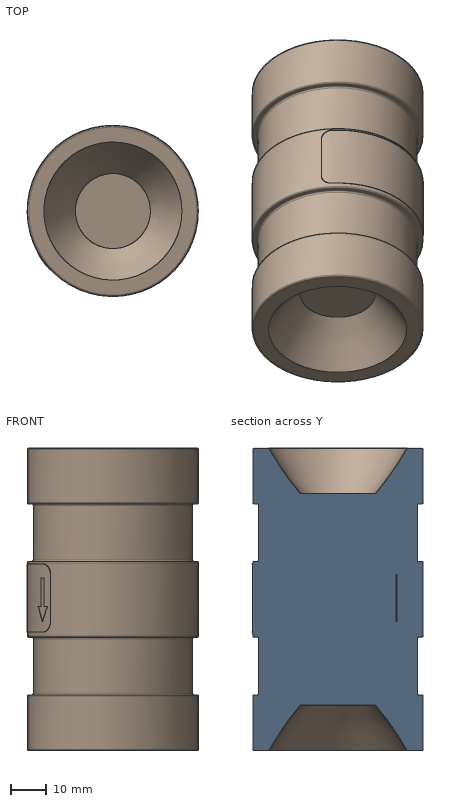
import cadquery as cq
import math

collar_diameter = 48.3
neck_diameter = 45.0
end_collar_length = 15.8
neck_length = 16.2
middle_collar_length = 21.5
edge_radius = 0.4
total_length = 2 * (end_collar_length + neck_length) + middle_collar_length
collar_radius = collar_diameter / 2
neck_radius = neck_diameter / 2

mouth_diameter = 39.0
floor_diameter = 21.2
mouth_depth = 12.8
mouth_wall_radius = 80.0

panel_thickness = 0.08
panel_height = 19.1
panel_rise_above_middle = 0.4
panel_center_z = total_length / 2 + panel_rise_above_middle
panel_center_angle = 135.0
panel_half_angle = 88.3
panel_corner_radius = 3.0

arrow_angle = 215.0
arrow_top_z = 48.8
arrow_shaft_length = 8.0
arrow_head_length = 4.3
arrow_shaft_width = 1.5
arrow_head_width = 4.5
arrow_thickness = 0.08

panel_radius = collar_radius + panel_thickness
arrow_radius = panel_radius + arrow_thickness


def cylinder(radius, bottom_z, length):
    return cq.Workplane("XY").workplane(offset=bottom_z).circle(radius).extrude(length)


def make_body():
    """Stepped cylinder with rounded collar edges and rounded neck corners."""
    body = cylinder(neck_radius, 0, total_length)
    middle_bottom = end_collar_length + neck_length
    body = body.union(cylinder(collar_radius, 0, end_collar_length))
    body = body.union(cylinder(collar_radius, middle_bottom, middle_collar_length))
    body = body.union(cylinder(collar_radius, total_length - end_collar_length, end_collar_length))
    return body.edges("%CIRCLE").fillet(edge_radius)


def make_mouth():
    """Cutter for the mouth in the top end face; its wall arc bows outward from the axis."""
    floor_z = total_length - mouth_depth
    floor_radius = floor_diameter / 2
    mouth_radius = mouth_diameter / 2
    wall_run = mouth_radius - floor_radius
    chord = math.hypot(wall_run, mouth_depth)
    sagitta = mouth_wall_radius - math.sqrt(mouth_wall_radius**2 - (chord / 2) ** 2)
    wall_middle_r = (mouth_radius + floor_radius) / 2 + sagitta * mouth_depth / chord
    wall_middle_z = total_length - mouth_depth / 2 - sagitta * wall_run / chord
    profile = (
        cq.Workplane("XZ")
        .moveTo(0, floor_z)
        .lineTo(floor_radius, floor_z)
        .threePointArc((wall_middle_r, wall_middle_z), (mouth_radius, total_length))
        .lineTo(0, total_length)
        .close()
    )
    return profile.revolve(360, (0, 0, 0), (0, 1, 0))


def make_panel():
    """Sector plate sunk into the middle collar, with its four corners rounded."""
    plate = (
        cq.Workplane("XZ")
        .moveTo(neck_radius, panel_center_z - panel_height / 2)
        .rect(panel_radius - neck_radius, panel_height, centered=False)
        .revolve(2 * panel_half_angle, (0, 0, 0), (0, 1, 0))
    )
    plate = plate.edges("%LINE and (not |Z)").fillet(panel_corner_radius)
    return plate.rotate((0, 0, 0), (0, 0, 1), panel_center_angle - panel_half_angle)


def make_arrow():
    """Flow arrow lying on the curved face of the panel."""
    head_base_z = arrow_top_z - arrow_shaft_length
    tip_z = head_base_z - arrow_head_length
    half_outline = [
        (arrow_shaft_width / 2, arrow_top_z),
        (arrow_shaft_width / 2, head_base_z),
        (arrow_head_width / 2, head_base_z),
    ]
    mirrored_half = [(-x, z) for x, z in reversed(half_outline)]
    outline = half_outline + [(0, tip_z)] + mirrored_half
    prism = cq.Workplane("XZ").polyline(outline).close().extrude(-2 * collar_radius)
    face_shell = cylinder(arrow_radius, 0, total_length).cut(cylinder(neck_radius, 0, total_length))
    return face_shell.intersect(prism).rotate((0, 0, 0), (0, 0, 1), arrow_angle - 90)


body = make_body().union(make_panel()).union(make_arrow())
top_mouth = make_mouth()
bottom_mouth = top_mouth.mirror("XY", (0, 0, total_length / 2))
result = body.cut(top_mouth).cut(bottom_mouth)